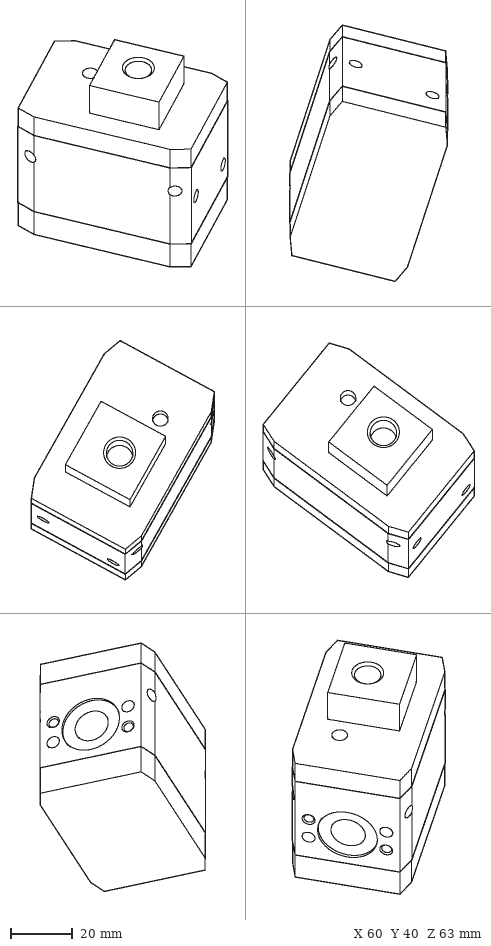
import cadquery as cq
import math

LENGTH = 60.0
BODY_WIDTH = 40.0
CAP_INSET = 0.1
BASE_HEIGHT = 10.0
BODY_HEIGHT = 33.0
TOP_HEIGHT = 8.0
CORNER_CUT = 6.5
END_FACE_WIDTH = 34.95

BLOCK_SIDE = 24.0
BLOCK_HEIGHT = 12.0
BLOCK_X = 4.85
BLOCK_PORT_Y = 1.5
BLOCK_PORT_DIAMETER = 8.55
BLOCK_PORT_MOUTH = 10.4
BLOCK_PORT_DEPTH = 9.45

VENT_X = -13.55
VENT_Y = 6.5
VENT_DIAMETER = 5.05
VENT_DEPTH = 5.05

PORT_Z = 23.0
PORT_DIAMETER = 11.45
PORT_DEPTH = 15.75
PORT_RECESS_DIAMETER = 20.0
PORT_RECESS_DEPTH = 1.0

SCREW_DIAMETER = 4.3
SCREW_Y = 13.0
SCREW_Z_OFFSET = 4.0
TAPPED_DIAMETER = 3.3
TAPPED_DEPTH = 10.1

CROSS_X = 25.0
CROSS_Z = 33.0

DRILL_TIP_ANGLE = 118.0

BODY_TOP = BASE_HEIGHT + BODY_HEIGHT
HOUSING_TOP = BODY_TOP + TOP_HEIGHT
BLOCK_TOP = HOUSING_TOP + BLOCK_HEIGHT
END_X = -LENGTH / 2


def cut_corner_slab(inset, bottom, height):
    """Slab with four cut corners; the inset draws in its ends and sides, not its corner lines."""
    end_x = LENGTH / 2 - inset
    side_x = LENGTH / 2 - CORNER_CUT
    end_y = END_FACE_WIDTH / 2
    side_y = BODY_WIDTH / 2 - inset
    corners = [
        (end_x, -end_y),
        (end_x, end_y),
        (side_x, side_y),
        (-side_x, side_y),
        (-end_x, end_y),
        (-end_x, -end_y),
        (-side_x, -side_y),
        (side_x, -side_y),
    ]
    return cq.Workplane("XY", origin=(0, 0, bottom)).polyline(corners).close().extrude(height)


def cylinder(diameter, depth, start, direction):
    return cq.Solid.makeCylinder(diameter / 2, depth, cq.Vector(*start), cq.Vector(*direction))


def drilled_hole(diameter, depth, start, direction, mouth_diameter=None):
    """Blind hole with a conical drill tip and an optional 45 degree chamfered mouth."""
    radius = diameter / 2
    tip_depth = radius / math.tan(math.radians(DRILL_TIP_ANGLE / 2))
    axis = cq.Vector(*direction)
    mouth = cq.Vector(*start)
    hole = cq.Solid.makeCylinder(radius, depth, mouth, axis)
    hole = hole.fuse(cq.Solid.makeCone(radius, 0, tip_depth, mouth + axis * depth, axis))
    if mouth_diameter:
        chamfer = (mouth_diameter - diameter) / 2
        hole = hole.fuse(cq.Solid.makeCone(mouth_diameter / 2, radius, chamfer, mouth, axis))
    return hole


result = cut_corner_slab(CAP_INSET, 0, BASE_HEIGHT)
result = result.union(cut_corner_slab(0, BASE_HEIGHT, BODY_HEIGHT))
result = result.union(cut_corner_slab(CAP_INSET, BODY_TOP, TOP_HEIGHT))
block = cq.Workplane("XY", origin=(BLOCK_X, 0, HOUSING_TOP)).rect(BLOCK_SIDE, BLOCK_SIDE).extrude(BLOCK_HEIGHT)
result = result.union(block)

down = (0, 0, -1)
block_port_start = (BLOCK_X, BLOCK_PORT_Y, BLOCK_TOP)
result = result.cut(
    drilled_hole(BLOCK_PORT_DIAMETER, BLOCK_PORT_DEPTH, block_port_start, down, BLOCK_PORT_MOUTH)
)
result = result.cut(cylinder(VENT_DIAMETER, VENT_DEPTH, (VENT_X, VENT_Y, HOUSING_TOP), down))

inward = (1, 0, 0)
port_start = (END_X, 0, PORT_Z)
result = result.cut(cylinder(PORT_RECESS_DIAMETER, PORT_RECESS_DEPTH, port_start, inward))
result = result.cut(drilled_hole(PORT_DIAMETER, PORT_DEPTH, port_start, inward))

for side in (-1, 1):
    through_start = (END_X, side * SCREW_Y, PORT_Z - side * SCREW_Z_OFFSET)
    tapped_start = (END_X, side * SCREW_Y, PORT_Z + side * SCREW_Z_OFFSET)
    result = result.cut(cylinder(SCREW_DIAMETER, LENGTH, through_start, inward))
    result = result.cut(drilled_hole(TAPPED_DIAMETER, TAPPED_DEPTH, tapped_start, inward, SCREW_DIAMETER))

for side in (-1, 1):
    cross_start = (side * CROSS_X, -BODY_WIDTH / 2, CROSS_Z)
    result = result.cut(cylinder(SCREW_DIAMETER, BODY_WIDTH, cross_start, (0, 1, 0)))